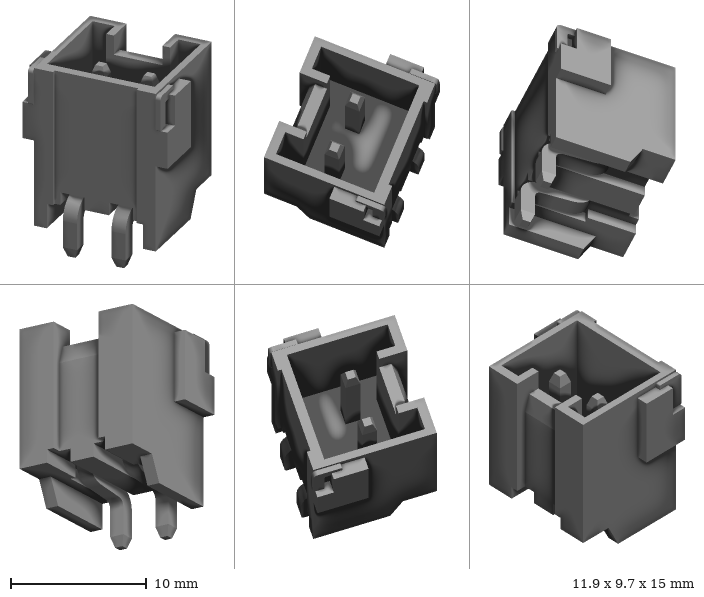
import cadquery as cq
import math

TOTAL_HEIGHT = 15.0
BODY_WIDTH = 9.95
BODY_DEPTH = 9.58
BODY_BOTTOM = -10.98

FOOT_BOTTOM = -12.99
FOOT_WIDTH = 1.04
FOOT_REAR_TOP = 6.96
FOOT_REAR_BOTTOM = 5.97

CAVITY_WIDTH = 8.82
CAVITY_FRONT = 1.04
CAVITY_REAR = 8.85
CAVITY_FLOOR = -9.0

KEY_WIDTH = 5.22
KEY_FRONT = 7.4
NOTCH_WIDTH = 3.96
NOTCH_FRONT = 8.79
KEY_WALL_TOP = -1.59
KEY_RAMP_DEPTH = 0.45
KEY_RAMP_HEIGHT = 1.42

RECESS_WIDTH = 6.84
RECESS_DEPTH = 0.28

OVERALL_WIDTH = 11.88
WING_DEPTH = 3.98
WING_TOP = -0.51
WING_BOTTOM = -5.97
WING_CUT_DEPTH = 1.28
WING_CUT_BOTTOM = -2.98

CLIP_PROUD = 0.12
CLIP_INNER_X = 5.02
CLIP_THICKNESS = 0.4
CLIP_REAR = 2.1
CLIP_TOP = -0.1
CLIP_BAR_WIDTH = 0.75
CLIP_LEG_WIDTH = 0.85
CLIP_OUTER_RADIUS = 0.32
CLIP_INNER_RADIUS = 0.12
CLIP_END_RADIUS = 0.1

PIN_PITCH = 3.98
PIN_SIZE = 1.15
PIN_TIP_SIZE = 0.63
PIN_TIP_LENGTH = 0.81
PIN_TOP = -1.35
PIN_REAR = 5.75
PIN_ARM_RISE_ANGLE = 5.0
PIN_ARM_FRONT_TOP = -10.42
PIN_FRONT_OUTER_RADIUS = 1.74
PIN_REAR_INNER_RADIUS = 0.75

POCKET_TOP = -9.95
POCKET_INNER_X = 1.0
POCKET_OUTER_X = 2.97


def block(x_range, y_range, z_range):
    """Box between two limits on each axis."""
    (x0, x1), (y0, y1), (z0, z1) = x_range, y_range, z_range
    return cq.Workplane("XY").box(x1 - x0, y1 - y0, z1 - z0, centered=False).translate((x0, y0, z0))


def middle_block(width, y_range, z_range):
    """Box centred on X = 0."""
    return block((-width / 2, width / 2), y_range, z_range)


def both_sides(shape):
    """The shape together with its mirror image across X = 0."""
    return shape.union(shape.mirror("YZ"))


def side_profile(points, x_start, thickness):
    """Plate with a (Y, Z) outline, spanning from x_start in +X."""
    return cq.Workplane("YZ", origin=(x_start, 0, 0)).polyline(points).close().extrude(thickness)


def round_corner(plate, x_middle, y, z, radius):
    """Round the edge along X of a plate whose outline has a corner at (y, z)."""
    corner = cq.selectors.NearestToPointSelector((x_middle, y, z))
    return plate.edges(corner).fillet(radius)


def make_housing():
    profile = [
        (0, 0),
        (BODY_DEPTH, 0),
        (BODY_DEPTH, BODY_BOTTOM),
        (FOOT_REAR_TOP, BODY_BOTTOM),
        (FOOT_REAR_BOTTOM, FOOT_BOTTOM),
        (0, FOOT_BOTTOM),
    ]
    housing = side_profile(profile, -BODY_WIDTH / 2, BODY_WIDTH)
    gap_width = BODY_WIDTH - 2 * FOOT_WIDTH
    housing = housing.cut(middle_block(gap_width, (0, BODY_DEPTH), (FOOT_BOTTOM, BODY_BOTTOM)))
    return housing.cut(middle_block(RECESS_WIDTH, (0, RECESS_DEPTH), (FOOT_BOTTOM, 0)))


def make_cavity():
    cavity = middle_block(CAVITY_WIDTH, (CAVITY_FRONT, CAVITY_REAR), (CAVITY_FLOOR, 0))
    return cavity.cut(middle_block(KEY_WIDTH, (KEY_FRONT, CAVITY_REAR), (CAVITY_FLOOR, 0)))


def make_key_notch():
    """Space cut away outside and above the key wall, whose outer face starts as a steep ramp."""
    profile = [
        (KEY_FRONT, 0),
        (BODY_DEPTH, 0),
        (BODY_DEPTH, BODY_BOTTOM),
        (NOTCH_FRONT, BODY_BOTTOM),
        (NOTCH_FRONT, KEY_WALL_TOP - KEY_RAMP_HEIGHT),
        (NOTCH_FRONT - KEY_RAMP_DEPTH, KEY_WALL_TOP),
        (KEY_FRONT, KEY_WALL_TOP),
    ]
    return side_profile(profile, -NOTCH_WIDTH / 2, NOTCH_WIDTH)


def make_pin_pocket():
    """Right-hand pocket: full width around the bend, narrower from the pin to the rear face."""
    height = (BODY_BOTTOM, POCKET_TOP)
    pin_outer_x = (PIN_PITCH + PIN_SIZE) / 2
    bend_space = block((POCKET_INNER_X, POCKET_OUTER_X), (0, PIN_REAR), height)
    channel = block((POCKET_INNER_X, pin_outer_x), (PIN_REAR, BODY_DEPTH), height)
    return bend_space.union(channel)


def make_wing():
    profile = [
        (0, WING_BOTTOM),
        (WING_DEPTH, WING_BOTTOM),
        (WING_DEPTH, WING_TOP),
        (WING_CUT_DEPTH, WING_TOP),
        (WING_CUT_DEPTH, WING_CUT_BOTTOM),
        (0, WING_CUT_BOTTOM),
    ]
    return side_profile(profile, BODY_WIDTH / 2, (OVERALL_WIDTH - BODY_WIDTH) / 2)


def make_clip():
    front = -CLIP_PROUD
    leg_rear = front + CLIP_LEG_WIDTH
    bar_bottom = CLIP_TOP - CLIP_BAR_WIDTH
    profile = [
        (front, CLIP_TOP),
        (CLIP_REAR, CLIP_TOP),
        (CLIP_REAR, bar_bottom),
        (leg_rear, bar_bottom),
        (leg_rear, WING_CUT_BOTTOM),
        (front, WING_CUT_BOTTOM),
    ]
    clip = side_profile(profile, CLIP_INNER_X, CLIP_THICKNESS)
    for y, z, radius in [
        (front, CLIP_TOP, CLIP_OUTER_RADIUS),
        (leg_rear, bar_bottom, CLIP_INNER_RADIUS),
        (front, WING_CUT_BOTTOM, CLIP_END_RADIUS),
        (CLIP_REAR, CLIP_TOP, CLIP_END_RADIUS),
    ]:
        clip = round_corner(clip, CLIP_INNER_X + CLIP_THICKNESS / 2, y, z, radius)
    return clip


def make_pin_tip(y_centre, z_base, direction):
    """Tapered pin end that points up (direction 1) or down (direction -1)."""
    return (
        cq.Workplane("XY", origin=(PIN_PITCH / 2, y_centre, z_base))
        .rect(PIN_SIZE, PIN_SIZE)
        .workplane(offset=direction * PIN_TIP_LENGTH)
        .rect(PIN_TIP_SIZE, PIN_TIP_SIZE)
        .loft()
    )


def make_pin():
    """Right-hand pin: a straight contact, an arm falling forward and a tail, joined by round bends."""
    tail_front = -CLIP_PROUD
    tail_rear = tail_front + PIN_SIZE
    contact_front = PIN_REAR - PIN_SIZE
    contact_base = PIN_TOP - PIN_TIP_LENGTH
    tail_base = -TOTAL_HEIGHT + PIN_TIP_LENGTH
    rise_angle = math.radians(PIN_ARM_RISE_ANGLE)

    def arm_top(y):
        return PIN_ARM_FRONT_TOP + (y - tail_front) * math.tan(rise_angle)

    def arm_bottom(y):
        return arm_top(y) - PIN_SIZE / math.cos(rise_angle)

    front_outer = (tail_front, arm_top(tail_front))
    front_inner = (tail_rear, arm_bottom(tail_rear))
    rear_inner = (contact_front, arm_top(contact_front))
    rear_outer = (PIN_REAR, arm_bottom(PIN_REAR))
    profile = [
        (contact_front, contact_base),
        rear_inner,
        front_outer,
        (tail_front, tail_base),
        (tail_rear, tail_base),
        front_inner,
        rear_outer,
        (PIN_REAR, contact_base),
    ]
    shank = side_profile(profile, (PIN_PITCH - PIN_SIZE) / 2, PIN_SIZE)
    for (y, z), radius in [
        (front_outer, PIN_FRONT_OUTER_RADIUS),
        (front_inner, PIN_FRONT_OUTER_RADIUS - PIN_SIZE),
        (rear_inner, PIN_REAR_INNER_RADIUS),
        (rear_outer, PIN_REAR_INNER_RADIUS + PIN_SIZE),
    ]:
        shank = round_corner(shank, PIN_PITCH / 2, y, z, radius)
    upper_tip = make_pin_tip(PIN_REAR - PIN_SIZE / 2, contact_base, 1)
    lower_tip = make_pin_tip(tail_front + PIN_SIZE / 2, tail_base, -1)
    return shank.union(upper_tip).union(lower_tip)


result = (
    make_housing()
    .cut(make_cavity())
    .cut(make_key_notch())
    .cut(both_sides(make_pin_pocket()))
    .union(both_sides(make_wing()))
    .union(both_sides(make_clip()))
    .union(both_sides(make_pin()))
)